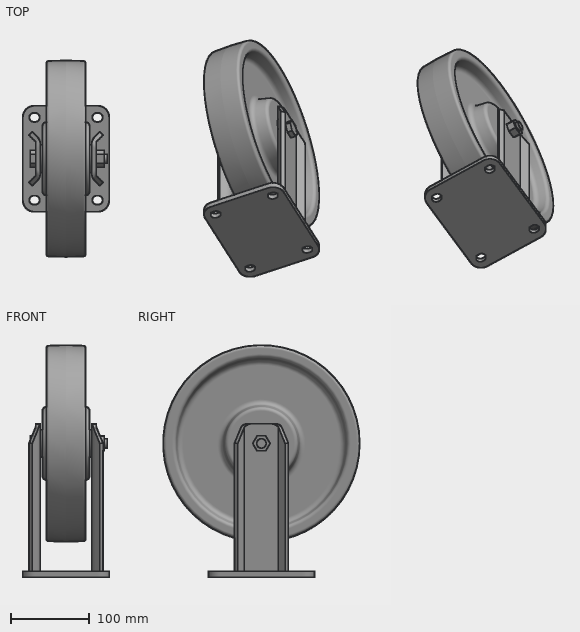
import cadquery as cq
import math

plate_length_x = 110.0
plate_length_y = 135.0
plate_thickness = 8.0
plate_corner_radius = 15.0
slot_spacing_x = 80.0
slot_spacing_y = 105.0
slot_length = 13.0
slot_width = 11.0

wheel_radius = 125.0
wheel_width = 50.0
axle_height = 170.0
tread_crown = 0.7
tread_edge_fillet = 3.5
rim_inner_radius = 109.6
rim_root_radius = 105.1
hub_outer_radius = 45.6
hub_root_radius = 49.9
hub_width = 60.0
web_thickness = 16.0
lip_fillet = 5.0
root_fillet = 7.0
spacer_diameter = 35.0

leg_thickness = 6.0
leg_inner_x = 32.6
leg_top_z = 195.0
web_half_width = 21.6
bend_radius = 14.0
flange_length = 12.0
flange_angle = 45.0
flange_shoulder_z = axle_height
flange_slope_angle = 60.0

bolt_diameter = 12.0
hex_sides = 6
hex_across_flats = 19.0
head_height = 6.5
nut_height = 10.0
bolt_end_x = 52.5

leg_outer_x = leg_inner_x + leg_thickness
cos_flange = math.cos(math.radians(flange_angle))
sin_flange = math.sin(math.radians(flange_angle))
hex_across_corners = hex_across_flats / math.cos(math.pi / hex_sides)


def rounded_profile(corners):
    """Closed XY outline through (x, y, fillet radius) corners; a zero radius stays sharp."""
    outline = None
    for i, (x, y, radius) in enumerate(corners):
        corner = cq.Vector(x, y)
        before = cq.Vector(*corners[i - 1][:2])
        after = cq.Vector(*corners[(i + 1) % len(corners)][:2])
        to_before = (before - corner).normalized()
        to_after = (after - corner).normalized()
        half_angle = to_before.getAngle(to_after) / 2
        setback = radius / math.tan(half_angle)
        start = corner + to_before * setback
        if outline is None:
            outline = cq.Workplane("XY").moveTo(start.x, start.y)
        else:
            outline = outline.lineTo(start.x, start.y)
        if radius > 0:
            bisector = (to_before + to_after).normalized()
            middle = corner + bisector * (radius / math.sin(half_angle) - radius)
            end = corner + to_after * setback
            outline = outline.threePointArc((middle.x, middle.y), (end.x, end.y))
    return outline.close()


def make_base_plate():
    """Rounded mounting plate with a slot near each corner."""
    plate = cq.Workplane("XY").box(
        plate_length_x, plate_length_y, plate_thickness, centered=(True, True, False)
    )
    plate = plate.edges("|Z").fillet(plate_corner_radius)
    return (
        plate.faces(">Z")
        .workplane()
        .rarray(slot_spacing_x, slot_spacing_y, 2, 2)
        .slot2D(slot_length, slot_width)
        .cutThruAll()
    )


def make_half_wheel():
    """The +X half of the wheel, revolved about the X axis through the origin."""
    half_width = wheel_width / 2
    half_web = web_thickness / 2
    half_hub = hub_width / 2
    half_profile = rounded_profile(
        [
            (0, 0, 0),
            (0, wheel_radius, 0),
            (half_width, wheel_radius - tread_crown, tread_edge_fillet),
            (half_width, rim_inner_radius, lip_fillet),
            (half_web, rim_root_radius, root_fillet),
            (half_web, hub_root_radius, root_fillet),
            (half_hub, hub_outer_radius, lip_fillet),
            (half_hub, 0, 0),
        ]
    )
    return half_profile.revolve(360, (0, 0, 0), (1, 0, 0))


def make_wheel():
    half = make_half_wheel()
    wheel = half.union(half.mirror("YZ"), clean=False)
    return wheel.translate((0, 0, axle_height))


def make_leg_end_cutter():
    """Trims a flange and the web corner beside it, swept square to the flange face."""
    slope = math.radians(flange_slope_angle)
    bend_z = flange_shoulder_z + flange_length * math.tan(slope)
    corner_radius = (leg_top_z - bend_z) / (1 - math.cos(slope))
    arc_start = -corner_radius * math.sin(slope)
    arc_middle = (
        arc_start + corner_radius * math.sin(slope / 2),
        leg_top_z - corner_radius * (1 - math.cos(slope / 2)),
    )
    clearance = leg_thickness
    flange_plane = cq.Plane(
        origin=(leg_outer_x, web_half_width, 0),
        xDir=(cos_flange, sin_flange, 0),
        normal=(sin_flange, -cos_flange, 0),
    )
    return (
        cq.Workplane(flange_plane)
        .moveTo(arc_start, leg_top_z)
        .threePointArc(arc_middle, (0, bend_z))
        .lineTo(flange_length, flange_shoulder_z)
        .lineTo(flange_length + clearance, flange_shoulder_z)
        .lineTo(flange_length + clearance, leg_top_z + clearance)
        .lineTo(arc_start, leg_top_z + clearance)
        .close()
        .extrude(2 * leg_thickness, both=True)
    )


def make_leg():
    """The +X leg: a web with two flanges bent outward about its outer corners."""
    tip_x = leg_outer_x + flange_length * cos_flange
    tip_y = web_half_width + flange_length * sin_flange
    inner_bend_y = web_half_width + leg_thickness * math.tan(math.radians(flange_angle / 2))
    half_section = rounded_profile(
        [
            (leg_inner_x, 0, 0),
            (leg_inner_x, inner_bend_y, bend_radius),
            (tip_x - leg_thickness * sin_flange, tip_y + leg_thickness * cos_flange, 0),
            (tip_x, tip_y, 0),
            (leg_outer_x, web_half_width, 0),
            (leg_outer_x, 0, 0),
        ]
    )
    half_leg = (
        half_section.extrude(leg_top_z - plate_thickness)
        .translate((0, 0, plate_thickness))
        .cut(make_leg_end_cutter())
    )
    return half_leg.union(half_leg.mirror("XZ"))


def axle_plane(x):
    """Plane square to the axle at x; its local x runs along +Y and it extrudes toward +X."""
    return cq.Workplane("YZ", origin=(x, 0, axle_height))


def make_axle():
    """Spacer between the legs, hex head on the -X side, nut and bolt end on the +X side."""
    spacer = axle_plane(-leg_inner_x).circle(spacer_diameter / 2).extrude(2 * leg_inner_x)
    head = axle_plane(-leg_outer_x).polygon(hex_sides, hex_across_corners).extrude(-head_height)
    nut = axle_plane(leg_outer_x).polygon(hex_sides, hex_across_corners).extrude(nut_height)
    bolt = axle_plane(-leg_outer_x).circle(bolt_diameter / 2).extrude(bolt_end_x + leg_outer_x)
    return spacer.union(head).union(nut).union(bolt)


leg = make_leg()
result = (
    make_wheel()
    .union(make_axle(), clean=False)
    .union(leg, clean=False)
    .union(leg.mirror("YZ"), clean=False)
    .union(make_base_plate(), clean=False)
)